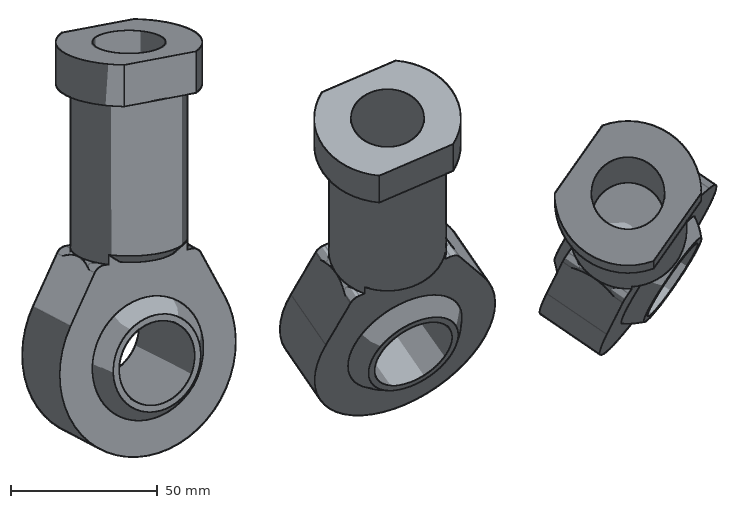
import cadquery as cq
import math

total_height = 145.0
eye_diameter = 70.0
eye_thickness = 25.0
eye_radius = eye_diameter / 2
eye_center_z = eye_radius
shoulder_z = 71.3
shoulder_radius = 3.9
rim_cone_slope = 1.4

ball_radius = 25.4
ball_width = 37.0
ball_bore = 30.0

shank_diameter = 40.0
shank_chamfer = 3.5
head_diameter = 50.0
head_height = 15.0
head_across_flats = 41.0

hole_diameter = 25.0
hole_depth = 50.0
drill_point_angle = 118.0


def eye_blank():
    """Round eye whose tangent flanks rise to the lower rim of the shank."""
    corner_y = shank_diameter / 2
    corner_rise = shoulder_z - eye_center_z
    corner_angle = math.atan2(corner_rise, corner_y)
    tangent_angle = corner_angle - math.acos(eye_radius / math.hypot(corner_y, corner_rise))
    tangent_y = eye_radius * math.cos(tangent_angle)
    tangent_z = eye_center_z + eye_radius * math.sin(tangent_angle)
    return (
        cq.Workplane("YZ")
        .moveTo(tangent_y, tangent_z)
        .lineTo(corner_y, shoulder_z)
        .lineTo(-corner_y, shoulder_z)
        .lineTo(-tangent_y, tangent_z)
        .threePointArc((0, 0), (tangent_y, tangent_z))
        .close()
        .extrude(eye_thickness / 2, both=True)
    )


def eye_plate():
    """Eye with rounded shoulders, blended by a cone falling away from the shank rim."""
    rounded = eye_blank().edges("|X and >Z").fillet(shoulder_radius)
    rim_radius = shank_diameter / 2
    cone = (
        cq.Workplane("XZ")
        .lineTo(rim_radius + rim_cone_slope * shoulder_z, 0)
        .lineTo(rim_radius, shoulder_z)
        .lineTo(0, shoulder_z)
        .close()
        .revolve(360, (0, 0, 0), (0, 1, 0))
    )
    return rounded.union(eye_blank().intersect(cone))


def ball():
    """Spherical bearing ball with flat ends, centred on the X axis of the eye."""
    half_width = ball_width / 2
    end_radius = math.sqrt(ball_radius**2 - half_width**2)
    return (
        cq.Workplane("XY")
        .moveTo(-half_width, 0)
        .lineTo(-half_width, end_radius)
        .threePointArc((0, ball_radius), (half_width, end_radius))
        .lineTo(half_width, 0)
        .close()
        .revolve(360, (0, 0, 0), (1, 0, 0))
        .translate((0, 0, eye_center_z))
    )


def shank():
    """Cylinder chamfered at its lower end, except across the thickness of the eye."""
    length = total_height - shoulder_z
    cylinder = cq.Workplane("XY").workplane(offset=shoulder_z).circle(shank_diameter / 2).extrude(length)
    eye_band = cq.Workplane("XY").box(eye_thickness, eye_diameter, 2 * total_height)
    return cylinder.faces("<Z").chamfer(shank_chamfer).union(cylinder.intersect(eye_band))


def head():
    """Round head with two wrench flats facing along X."""
    disc = (
        cq.Workplane("XY")
        .workplane(offset=total_height - head_height)
        .circle(head_diameter / 2)
        .extrude(head_height)
    )
    flats = cq.Workplane("XY").box(head_across_flats, head_diameter, 2 * total_height)
    return disc.intersect(flats)


def threaded_hole():
    """Blind drilled hole with a conical bottom, open at the head."""
    radius = hole_diameter / 2
    bottom_z = total_height - hole_depth
    point_depth = radius / math.tan(math.radians(drill_point_angle / 2))
    return (
        cq.Workplane("XZ")
        .moveTo(0, total_height)
        .lineTo(radius, total_height)
        .lineTo(radius, bottom_z)
        .lineTo(0, bottom_z - point_depth)
        .close()
        .revolve(360, (0, 0, 0), (0, 1, 0))
    )


ball_hole = (
    cq.Workplane("YZ")
    .workplane(offset=-ball_width)
    .center(0, eye_center_z)
    .circle(ball_bore / 2)
    .extrude(2 * ball_width)
)

result = shank().union(head()).union(eye_plate()).union(ball())
result = result.cut(threaded_hole()).cut(ball_hole)